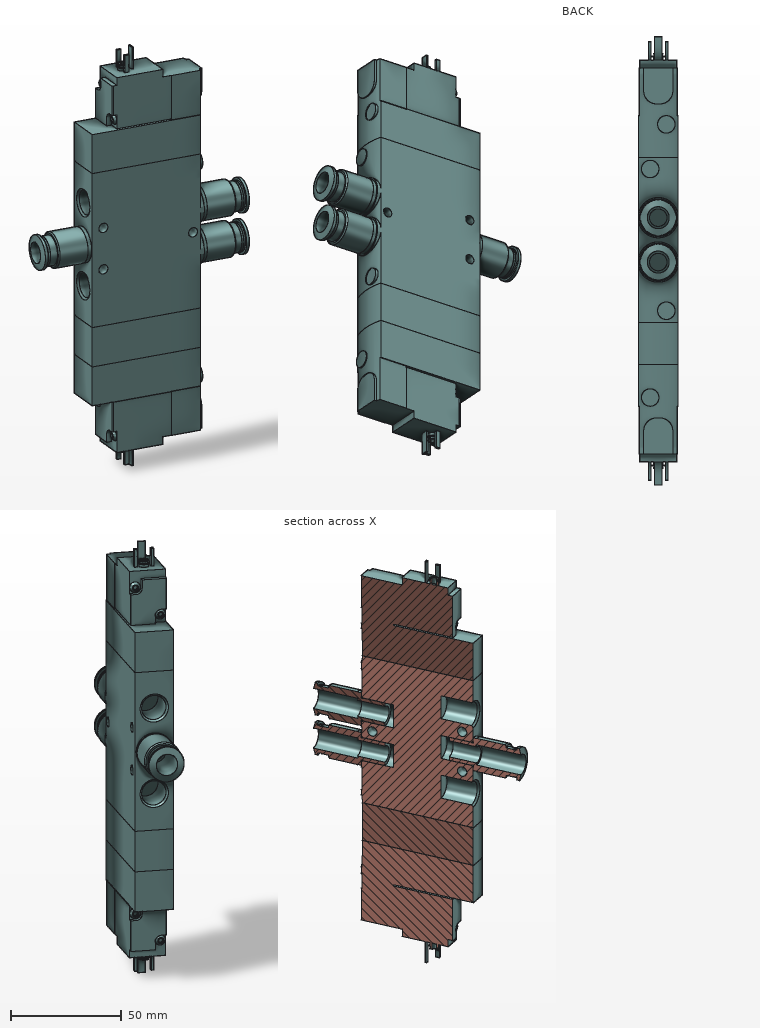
import cadquery as cq
import math

width = 18.0
front_y = -28.5
back_y = 28.0
boss_y = 28.5
crown_radius = 29.5
stack_half_height = 46.9
block_height = 18.9
spacer_height = 19.0

valve_top_z = stack_half_height
valve_bottom_z = spacer_height - stack_half_height
valve_z = (valve_top_z + valve_bottom_z) / 2

port_pitch = 20.0
back_port_z = [valve_z - port_pitch / 2, valve_z + port_pitch / 2]
front_port_z = [valve_z + step * port_pitch for step in (-1, 0, 1)]
port_diameter = 11.4
port_mouth_diameter = 13.2
port_depth = 16.2
port_boss_diameter = 18.3
mount_hole_diameter = 4.5
mount_hole_y = 22.7
boss_root = 2.0
label_boss_diameter = 8.0
label_boss_x = 3.7
valve_label_offset = 32.0

base_width = 17.3
base_front_y = 12.0
pilot_base_z = stack_half_height + block_height
pilot_top_z = 87.3
override_width = 13.2
override_corner_radius = 5.9
override_bottom_z = 71.0
end_label_z = pilot_base_z - label_boss_diameter / 2

coil_width = 16.8
coil_gap = 0.5
coil_bottom_z = pilot_base_z + coil_gap
coil_front_y = -17.3
coil_top_back_y = 7.7
coil_top_z = 91.0
coil_top_front_y = -15.6

cover_front_y = -18.0
cover_width = 16.5
screw_notch_diameter = 5.7
screw_x = 5.9
screw_offset_z = 6.7
screw_head_diameter = 4.9
screw_head_height = 1.2
screw_tip_diameter = 2.8
screw_socket_diameter = 2.0
screw_socket_depth = 0.8

contact_y = -8.5
side_contact_x = 3.9
side_contact_thickness = 1.2
side_contact_width = 2.0
side_contact_top_z = 99.3
middle_contact_y = -4.3
middle_contact_thickness = 0.8
middle_contact_width = 3.5
middle_contact_top_z = 101.5

socket_diameter = 4.5
socket_lip_diameter = 5.7
socket_neck_diameter = 3.9
socket_lip_bottom = 1.5
socket_lip_top = 1.8
socket_rim_bottom = 2.6
socket_height = 3.0
socket_bore_diameter = 2.0

thread_length = 12.2
foot_diameter = 16.8
foot_height = 1.8
sleeve_diameter = 17.0
sleeve_chamfer = 0.6
sleeve_height = 16.6
neck_diameter = 14.2
groove_diameter = 13.8
groove_bottom_height = 20.0
groove_top_height = 21.1
ring_diameter = 16.5
ring_bottom_height = 22.0
ring_edge_height = 23.3
fitting_height = 24.2
ring_tip_diameter = 10.5
tube_bore_diameter = 10.0
flow_bore_diameter = 8.0


def box(x_range, y_range, z_range):
    """Box between pairs of coordinates."""
    size = [high - low for low, high in (x_range, y_range, z_range)]
    corner = (x_range[0], y_range[0], z_range[0])
    return cq.Workplane("XY").box(*size, centered=False).translate(corner)


def centred_box(size_x, y_range, z_range):
    return box((-size_x / 2, size_x / 2), y_range, z_range)


def y_cylinder(diameter, x, z, y_from, y_to):
    """Cylinder along Y."""
    axis = cq.Vector(0, 1, 0)
    start = cq.Vector(x, y_from, z)
    return cq.Workplane(cq.Solid.makeCylinder(diameter / 2, y_to - y_from, start, axis))


def crown_y(x):
    """Y of the crowned back face at a distance x from the middle."""
    return back_y - crown_radius + math.sqrt(crown_radius**2 - x**2)


def crowned_block(size_x, y_front, z_bottom, z_top):
    """Block whose back face is a shallow arc across X."""
    side = size_x / 2
    return (
        cq.Workplane("XY")
        .workplane(offset=z_bottom)
        .moveTo(-side, y_front)
        .lineTo(-side, crown_y(side))
        .threePointArc((0, back_y), (side, crown_y(side)))
        .lineTo(side, y_front)
        .close()
        .extrude(z_top - z_bottom)
    )


def back_boss(diameter, x, z):
    """Round boss that rises out of the crowned back face."""
    return y_cylinder(diameter, x, z, crown_y(width / 2) - boss_root, boss_y)


def make_port(z, seat_y, inward):
    """Cutter for a round port with a countersunk mouth, running inward (+1 or -1) along Y."""
    radius = port_diameter / 2
    mouth_radius = port_mouth_diameter / 2
    return (
        cq.Workplane("XY")
        .polyline(
            [
                (0, 0),
                (mouth_radius, 0),
                (radius, inward * (mouth_radius - radius)),
                (radius, inward * port_depth),
                (0, inward * port_depth),
            ]
        )
        .close()
        .revolve(360, (0, 0, 0), (0, 1, 0))
        .translate((0, seat_y, z))
    )


def make_valve_body():
    body = crowned_block(width, front_y, valve_bottom_z, valve_top_z)
    for side in (-1, 1):
        body = body.union(back_boss(port_boss_diameter, 0, valve_z + side * port_pitch / 2))
        label_z = valve_z + side * valve_label_offset
        body = body.union(back_boss(label_boss_diameter, side * label_boss_x, label_z))
    body = body.intersect(centred_box(width, (front_y, boss_y), (valve_bottom_z, valve_top_z)))
    for z in back_port_z:
        body = body.cut(make_port(z, boss_y, -1))
    for z in front_port_z:
        body = body.cut(make_port(z, front_y, 1))
    mount_holes = [(-mount_hole_y, z) for z in back_port_z] + [(mount_hole_y, valve_z)]
    hole_circles = cq.Workplane("YZ").pushPoints(mount_holes).circle(mount_hole_diameter / 2)
    return body.cut(hole_circles.extrude(width, both=True))


def make_spacer():
    return crowned_block(width, front_y, -stack_half_height, valve_bottom_z)


def make_solenoid_base():
    """Crowned block behind the coil, with the round-cornered override pad on its back."""
    base = crowned_block(base_width, base_front_y, pilot_base_z, pilot_top_z)
    pad = centred_box(override_width, (crown_y(base_width / 2), boss_y), (override_bottom_z, pilot_top_z))
    pad = pad.faces("<Z").edges("|Y").fillet(override_corner_radius)
    return base.union(pad)


def make_screw_notch(x, z, side):
    """Cutter for a corner of the coil and cover: round around the screw, open to the side and the end."""
    radius = screw_notch_diameter / 2
    depth = (cover_front_y, coil_top_front_y)
    outer_x = side * coil_width
    outer_z = z - side * coil_width
    notch = y_cylinder(screw_notch_diameter, x, z, *depth)
    spans = [(x, z + side * radius), (x - side * radius, z)]
    for inner_x, inner_z in spans:
        notch = notch.union(box(sorted((inner_x, outer_x)), depth, sorted((inner_z, outer_z))))
    return notch


def make_screw_head(x, z):
    """Conical head with a round socket in its flat tip."""
    base_radius = screw_head_diameter / 2
    tip_y = coil_top_front_y - screw_head_height
    seat = cq.Vector(x, coil_top_front_y, z)
    forward = cq.Vector(0, -1, 0)
    cone = cq.Solid.makeCone(base_radius, screw_tip_diameter / 2, screw_head_height, seat, forward)
    socket = y_cylinder(screw_socket_diameter, x, z, tip_y, tip_y + screw_socket_depth)
    return cq.Workplane(cone).cut(socket)


def make_coil():
    """Coil with a stepped outer end, a thin front cover and two screws in opposite corners."""
    lower_z = (coil_bottom_z, pilot_top_z)
    coil = centred_box(coil_width, (coil_front_y, base_front_y), lower_z)
    coil = coil.union(centred_box(coil_width, (coil_top_front_y, coil_top_back_y), (pilot_top_z, coil_top_z)))
    coil = coil.union(centred_box(cover_width, (cover_front_y, coil_front_y), lower_z))
    lower_part = centred_box(coil_width, (cover_front_y, base_front_y), lower_z)
    middle_z = sum(lower_z) / 2
    for side in (-1, 1):
        x = side * screw_x
        z = middle_z - side * screw_offset_z
        notch = make_screw_notch(x, z, side).intersect(lower_part)
        coil = coil.cut(notch).union(make_screw_head(x, z))
    return coil


def make_contacts():
    """Three flat contacts standing on the coil."""
    contacts = centred_box(
        middle_contact_width,
        (middle_contact_y - middle_contact_thickness / 2, middle_contact_y + middle_contact_thickness / 2),
        (coil_top_z, middle_contact_top_z),
    )
    side_contact = centred_box(
        side_contact_thickness,
        (contact_y - side_contact_width / 2, contact_y + side_contact_width / 2),
        (coil_top_z, side_contact_top_z),
    )
    for side in (-1, 1):
        contacts = contacts.union(side_contact.translate((side * side_contact_x, 0, 0)))
    return contacts


def make_socket():
    """Waisted round socket with a projecting lip, between the side contacts."""
    outline = [
        (socket_bore_diameter / 2, 0),
        (socket_diameter / 2, 0),
        (socket_diameter / 2, socket_lip_bottom),
        (socket_lip_diameter / 2, socket_lip_bottom),
        (socket_lip_diameter / 2, socket_lip_top),
        (socket_neck_diameter / 2, socket_lip_top),
        (socket_neck_diameter / 2, socket_rim_bottom),
        (socket_diameter / 2, socket_rim_bottom),
        (socket_diameter / 2, socket_height),
        (socket_bore_diameter / 2, socket_height),
    ]
    profile = cq.Workplane("XZ").polyline(outline).close()
    return profile.revolve(360, (0, 0, 0), (0, 1, 0)).translate((0, contact_y, coil_top_z))


def make_pilot():
    """Upper pilot; a half turn about Y gives the lower one."""
    pilot = crowned_block(width, front_y, stack_half_height, pilot_base_z)
    pilot = pilot.union(back_boss(label_boss_diameter, -label_boss_x, end_label_z))
    for part in (make_solenoid_base(), make_coil(), make_contacts(), make_socket()):
        pilot = pilot.union(part)
    return pilot


def make_fitting():
    """Push-in fitting on the Y axis, seated at Y = 0 and pointing towards +Y."""
    outline = [
        (flow_bore_diameter / 2, -thread_length),
        (port_diameter / 2, -thread_length),
        (port_diameter / 2, 0),
        (foot_diameter / 2, 0),
        (foot_diameter / 2, foot_height),
        (sleeve_diameter / 2, foot_height),
        (sleeve_diameter / 2, sleeve_height - sleeve_chamfer),
        (sleeve_diameter / 2 - sleeve_chamfer, sleeve_height),
        (neck_diameter / 2, sleeve_height),
        (neck_diameter / 2, groove_bottom_height),
        (groove_diameter / 2, groove_bottom_height),
        (groove_diameter / 2, groove_top_height),
        (neck_diameter / 2, groove_top_height),
        (neck_diameter / 2, ring_bottom_height),
        (ring_diameter / 2, ring_bottom_height),
        (ring_diameter / 2, ring_edge_height),
        (ring_tip_diameter / 2, fitting_height),
        (tube_bore_diameter / 2, fitting_height),
        (tube_bore_diameter / 2, foot_height),
        (flow_bore_diameter / 2, foot_height),
    ]
    return cq.Workplane("XY").polyline(outline).close().revolve(360, (0, 0, 0), (0, 1, 0))


valve_body = make_valve_body()
spacer = make_spacer()
upper_pilot = make_pilot()
lower_pilot = upper_pilot.rotate((0, 0, 0), (0, 1, 0), 180)

fitting = make_fitting()
fittings = [fitting.translate((0, boss_y, z)) for z in back_port_z]
fittings.append(fitting.rotate((0, 0, 0), (0, 0, 1), 180).translate((0, front_y, valve_z)))

result = cq.Compound.makeCompound(
    [
        valve_body.val(),
        spacer.val(),
        upper_pilot.val(),
        lower_pilot.val(),
        *[body.val() for body in fittings],
    ]
)